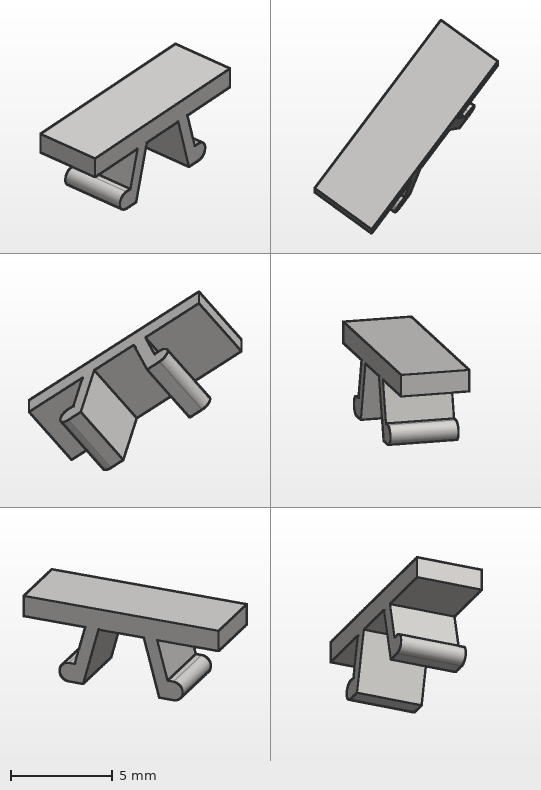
import cadquery as cq
import math

width = 3.5
plate_length = 10.5
total_height = 4.2
plate_thickness = 1.1

leg_angle = 15.0
leg_root_inner = 1.22
leg_root_outer = 1.94
foot_height = 1.01
foot_reach = 3.32

plate_bottom = total_height - plate_thickness
leg_slope = math.tan(math.radians(leg_angle))
foot_radius = foot_height / 2


def make_plate():
    return cq.Workplane("XY").box(
        width, plate_length, plate_thickness, centered=(True, True, False)
    ).translate((0, 0, plate_bottom))


def make_leg():
    """Leg on the +Y side, with a round-ended foot pointing outward."""
    overlap = plate_thickness / 2
    toe_inner = leg_root_inner + leg_slope * plate_bottom
    ankle_outer = leg_root_outer + leg_slope * (plate_bottom - foot_height)
    round_center = foot_reach - foot_radius
    return (
        cq.Workplane("YZ")
        .moveTo(leg_root_inner, plate_bottom)
        .lineTo(toe_inner, 0)
        .lineTo(round_center, 0)
        .threePointArc((foot_reach, foot_radius), (round_center, foot_height))
        .lineTo(ankle_outer, foot_height)
        .lineTo(leg_root_outer, plate_bottom)
        .lineTo(leg_root_outer, plate_bottom + overlap)
        .lineTo(leg_root_inner, plate_bottom + overlap)
        .close()
        .extrude(width / 2, both=True)
    )


leg = make_leg()
result = make_plate().union(leg).union(leg.mirror("XZ")).clean()